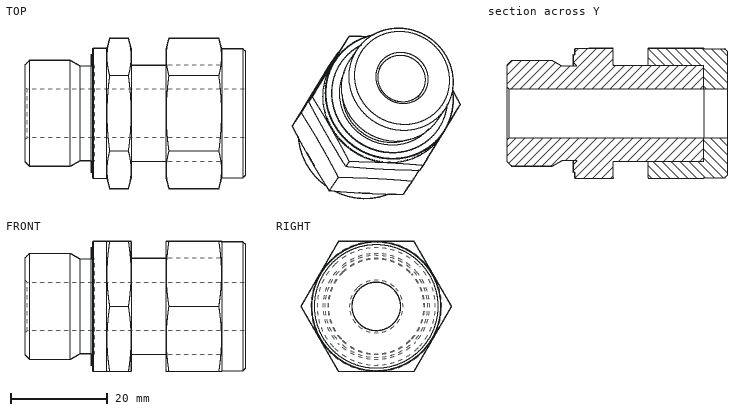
import cadquery as cq
import math

across_flats = 27.0
across_corners = across_flats / math.cos(math.radians(30))
flat_radius = across_flats / 2
corner_radius = across_corners / 2
hex_face_radius = 13.3
hex_chamfer_angle = 15.0

bore_radius = 5.0
bore_chamfer = 0.5

stud_length = 9.4
neck_start = 11.4
seal_lip_start = 13.7
collar_start = 14.05
body_hex_start = 16.95
body_hex_end = 22.05

stud_radius = 11.0
stud_chamfer = 1.0
neck_radius = 9.85
seal_lip_radius = 12.2
seal_lip_inner_chamfer = 0.75
collar_radius = flat_radius
collar_chamfer = 0.12
shank_radius = 10.0

nut_start = 29.2
nut_hex_end = 40.75
nut_end = 45.7
nut_sleeve_radius = 13.4
nut_end_chamfer = 0.6
shank_end = nut_hex_end


def turned(outline):
    """Revolve a closed (x, radius) outline about the X axis."""
    return cq.Workplane("XY").polyline(outline).close().revolve(360, (0, 0, 0), (1, 0, 0))


def cylinder(start, end, radius):
    return cq.Workplane("YZ", origin=(start, 0, 0)).circle(radius).extrude(end - start)


def chamfered_hexagon(start, end):
    """Hexagon with flats on +Z and -Z, its corners turned off conically at both ends."""
    prism = cq.Workplane("YZ", origin=(start, 0, 0)).polygon(6, across_corners).extrude(end - start)
    depth = (corner_radius - hex_face_radius) * math.tan(math.radians(hex_chamfer_angle))
    envelope = turned([
        (start, 0),
        (start, hex_face_radius),
        (start + depth, corner_radius),
        (end - depth, corner_radius),
        (end, hex_face_radius),
        (end, 0),
    ])
    return prism.intersect(envelope)


def make_fitting_body():
    stud_and_collar = turned([
        (0, 0),
        (0, stud_radius - stud_chamfer),
        (stud_chamfer, stud_radius),
        (stud_length, stud_radius),
        (neck_start, neck_radius),
        (seal_lip_start + seal_lip_inner_chamfer, neck_radius),
        (seal_lip_start, neck_radius + seal_lip_inner_chamfer),
        (seal_lip_start, seal_lip_radius),
        (collar_start, seal_lip_radius),
        (collar_start, collar_radius - collar_chamfer),
        (collar_start + collar_chamfer, collar_radius),
        (body_hex_start, collar_radius),
        (body_hex_start, 0),
    ])
    hexagon = chamfered_hexagon(body_hex_start, body_hex_end)
    shank = cylinder(body_hex_end, shank_end, shank_radius)
    bore = turned([
        (0, 0),
        (0, bore_radius + bore_chamfer),
        (bore_chamfer, bore_radius),
        (shank_end, bore_radius),
        (shank_end, 0),
    ])
    return stud_and_collar.union(hexagon).union(shank).cut(bore)


def make_union_nut():
    hexagon = chamfered_hexagon(nut_start, nut_hex_end)
    sleeve = cylinder(nut_hex_end, nut_end, nut_sleeve_radius).faces(">X").chamfer(nut_end_chamfer)
    shank_recess = cylinder(nut_start, shank_end, shank_radius)
    bore = cylinder(nut_start, nut_end, bore_radius)
    return hexagon.union(sleeve).cut(shank_recess).cut(bore)


fitting_body = make_fitting_body()
union_nut = make_union_nut()

result = cq.Compound.makeCompound([fitting_body.val(), union_nut.val()])